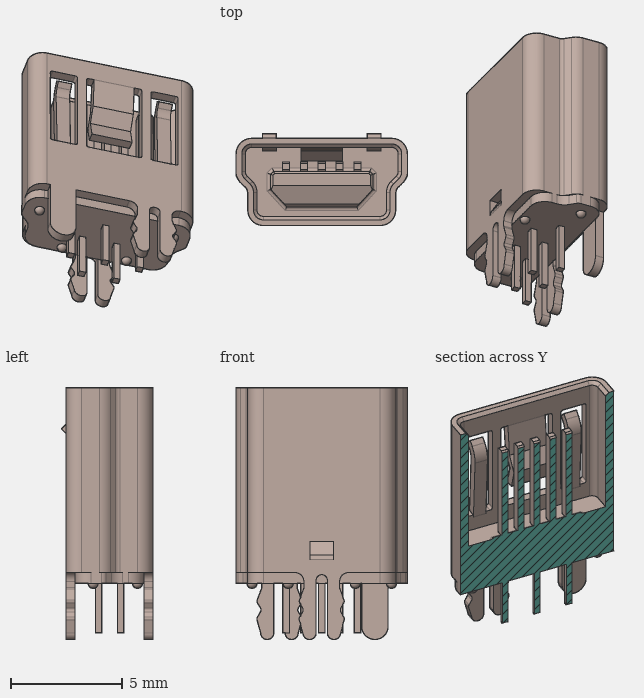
import cadquery as cq
import math


height = 11.3
width = 7.7
depth = 3.92
waist_width = 6.65
shoulder_y = 0.17
corner_radius = 0.7
wall = 0.42
shell_bottom = 3.01
lip_chamfer = 0.16

half_depth = depth / 2
inner_y = half_depth - wall
bend_radius = corner_radius - wall

flange_bottom = 2.52
flange_shoulder_shift = 0.07
floor_z = 5.08
foot_radius = 0.23
back_feet = (3.13, 0.73)
front_feet = (1.5, -1.25)

tongue_top = 10.4
tongue_half_width = 2.29
tongue_back = 0.47
tongue_side_front = -0.34
tongue_front = -1.12
tongue_front_half_width = 1.57
tongue_back_bevel = 0.14
tongue_chamfer = 0.1
tongue_foot = 0.16
slope_start = -0.16
slope_angle = 23.0
slope_front_chamfer = 0.14

contact_pitch = 0.8
contact_width = 0.32
contact_back = 0.9
contact_top = 9.72
contact_chamfer = 0.08
tail_size = 0.29
tail_bottom = 0.3
back_tail_y = 0.49
front_tail_y = -0.5

window_top = 10.22
window_bottom = 5.88
window_radius = 0.11
side_window_x = 2.35
side_window_width = 1.27
middle_window_width = 2.58
side_spring_width = 0.63
side_spring_lean = 0.18
side_spring_knee = 9.07
side_spring_bend = 0.98
side_spring_reach = 0.2
middle_spring_width = 1.88
middle_spring_lean = 0.16
middle_spring_knee = 8.7
middle_spring_crest = 8.02
middle_spring_crest_y = 0.94
middle_spring_tip = 7.12
middle_spring_tip_y = 1.19

latch_width = 1.04
latch_top = 4.41
latch_bottom = 3.6
latch_ridge = 3.8
latch_gap = 0.05

fork_slot_width = 0.5
fork_slot_top = 2.92
fork_neck = 0.8
fork_barb = 1.03
fork_root_radius = 0.4
fork_neck_bottom = 2.3
upper_barb_z = 1.71
notch_z = 1.33
lower_barb_z = 0.95
fork_tip_half_width = 0.85
barb_radius = 0.17
back_fork_x = -1.9
plain_leg_x = 2.38
plain_leg_width = 1.2

overlap = 0.11
edge_reach = 0.02
bend_angle = math.radians(45)


def box(x, y_range, z_range, size_x):
    """Upright block centred on x."""
    size_y = y_range[1] - y_range[0]
    size_z = z_range[1] - z_range[0]
    return (
        cq.Workplane("XY")
        .box(size_x, size_y, size_z, centered=(True, False, False))
        .translate((x, y_range[0], z_range[0]))
    )


def along_x(points, x, size_x):
    """(Y, Z) outline extruded along X, centred on x."""
    outline = cq.Workplane("YZ").polyline(points).close()
    return outline.extrude(size_x / 2, both=True).translate((x, 0, 0))


def stepped_prism(side, waist, back, front, shoulder, radii, z_range):
    """Outline with a wide back, 45 degree shoulders and a narrower front.

    side and waist are half widths; radii are those of the outer corners, shoulder and waist bend.
    """
    corner, shoulder_bend, waist_bend = radii
    waist_y = shoulder - (side - waist)
    right = [(waist, front), (waist, waist_y), (side, shoulder), (side, back)]
    left = [(-x, y) for x, y in reversed(right)]
    prism = (
        cq.Workplane("XY", origin=(0, 0, z_range[0]))
        .polyline(right + left)
        .close()
        .extrude(z_range[1] - z_range[0])
    )

    def near(y):
        middle = (z_range[0] + z_range[1]) / 2
        low = (-side - edge_reach, y - edge_reach, middle - overlap)
        high = (side + edge_reach, y + edge_reach, middle + overlap)
        return cq.selectors.BoxSelector(low, high)

    for y, radius in ((back, corner), (front, corner), (shoulder, shoulder_bend), (waist_y, waist_bend)):
        prism = prism.edges("|Z").edges(near(y)).fillet(radius)
    return prism


def cavity(z_range):
    """Space inside the shell walls."""
    inner_shoulder = shoulder_y + wall * math.tan(bend_angle / 2)
    return stepped_prism(
        width / 2 - wall,
        waist_width / 2 - wall,
        inner_y,
        -inner_y,
        inner_shoulder,
        (bend_radius, bend_radius, corner_radius),
        z_range,
    )


def back_window(x, size_x):
    y_range = (inner_y - overlap, half_depth + overlap)
    return box(x, y_range, (window_bottom, window_top), size_x).edges("|Y").fillet(window_radius)


def make_shell():
    radii = (corner_radius, corner_radius, bend_radius)
    outer = stepped_prism(
        width / 2, waist_width / 2, half_depth, -half_depth, shoulder_y, radii, (shell_bottom, height)
    )
    shell = outer.cut(cavity((shell_bottom, height)))
    shell = shell.faces(">Z").wires(cq.selectors.AreaNthSelector(0)).chamfer(lip_chamfer)
    for x in (-side_window_x, side_window_x):
        shell = shell.cut(back_window(x, side_window_width))
    shell = shell.cut(back_window(0, middle_window_width))
    latch_y = (-half_depth - overlap, -inner_y + overlap)
    return shell.cut(box(0, latch_y, (latch_bottom, latch_top), latch_width))


def side_spring(x):
    """Leaf rising from the window sill, leaning inward, with its end hooked outward at 45 degrees."""
    root = window_bottom - overlap
    knee_inner = inner_y - side_spring_lean
    knee_outer = knee_inner + wall
    tip_y = half_depth + side_spring_reach
    tip_z = side_spring_knee + tip_y - knee_outer
    end_step = wall * math.sin(bend_angle)
    inner_rise = wall * math.tan(bend_angle / 2)

    def knee_at(y, z):
        return cq.selectors.NearestToPointSelector((x, y, z))

    leaf = along_x(
        [
            (inner_y, root),
            (half_depth, root),
            (knee_outer, side_spring_knee),
            (tip_y, tip_z),
            (tip_y - end_step, tip_z + end_step),
            (knee_inner, side_spring_knee + inner_rise),
        ],
        x,
        side_spring_width,
    )
    leaf = leaf.edges(knee_at(knee_inner, side_spring_knee + inner_rise)).fillet(side_spring_bend)
    return leaf.edges(knee_at(knee_outer, side_spring_knee)).fillet(side_spring_bend - wall)


def middle_spring():
    """Leaf hanging from the window head, bending inward to a crest and back at its free end."""
    root = window_top + overlap
    inner = [
        (inner_y, root),
        (inner_y, window_top),
        (inner_y - middle_spring_lean, middle_spring_knee),
        (middle_spring_crest_y, middle_spring_crest),
        (middle_spring_tip_y, middle_spring_tip),
    ]
    outer = [(y + wall, z) for y, z in reversed(inner)]
    return along_x(inner + outer, 0, middle_spring_width)


def tongue_outline(z):
    right = [
        (tongue_front_half_width, tongue_front),
        (tongue_half_width, tongue_side_front),
        (tongue_half_width, tongue_back - tongue_back_bevel),
        (tongue_half_width - tongue_back_bevel, tongue_back),
    ]
    left = [(-x, y) for x, y in reversed(right)]
    return cq.Workplane("XY", origin=(0, 0, z)).polyline(right + left).close()


def make_tongue():
    tongue = tongue_outline(floor_z).extrude(tongue_top - floor_z).faces(">Z").chamfer(tongue_chamfer)
    run = slope_start - tongue_front + overlap
    drop = run * math.tan(math.radians(slope_angle))
    slope = along_x(
        [
            (slope_start, tongue_top),
            (slope_start - run, tongue_top),
            (slope_start - run, tongue_top - drop),
        ],
        0,
        width,
    )
    tongue = tongue.cut(slope)
    return tongue.edges("<Y and (not |Z)").edges(">Z").chamfer(slope_front_chamfer)


def make_contact(x):
    """Blade standing on the floor against the back of the tongue, bevelled at its top."""
    bevel_z = contact_top - contact_chamfer
    return along_x(
        [
            (tongue_back - overlap, floor_z - overlap),
            (contact_back, floor_z - overlap),
            (contact_back, bevel_z),
            (contact_back - contact_chamfer, contact_top),
            (tongue_back + contact_chamfer, contact_top),
            (tongue_back, bevel_z),
            (tongue_back - overlap, bevel_z),
        ],
        x,
        contact_width,
    )


def make_tail(x, y):
    y_range = (y - tail_size / 2, y + tail_size / 2)
    return box(x, y_range, (tail_bottom, flange_bottom + overlap), tail_size)


def make_insulator():
    insulator = cavity((shell_bottom - overlap, floor_z)).union(make_tongue())
    foot_edges = cq.selectors.BoxSelector(
        (-tongue_half_width - overlap, tongue_front - overlap, floor_z - overlap),
        (tongue_half_width + overlap, tongue_back + overlap, floor_z + overlap),
    )
    insulator = insulator.edges("not |Z").edges(foot_edges).fillet(tongue_foot)
    radii = (corner_radius, bend_radius, corner_radius)
    flange_shoulder = shoulder_y + flange_shoulder_shift
    flange = stepped_prism(
        width / 2, waist_width / 2, inner_y, -inner_y, flange_shoulder, radii, (flange_bottom, shell_bottom)
    )
    insulator = insulator.union(flange)
    ridge_y = -half_depth + latch_gap
    latch = along_x(
        [
            (-inner_y + overlap, latch_top),
            (-inner_y, latch_top),
            (ridge_y, latch_ridge),
            (-half_depth, latch_bottom),
            (-inner_y + overlap, latch_bottom),
        ],
        0,
        latch_width,
    )
    insulator = insulator.union(latch)
    for x, y in (back_feet, front_feet):
        for side in (-1, 1):
            foot = cq.Workplane("XY").sphere(foot_radius).translate((side * x, y, flange_bottom))
            insulator = insulator.union(foot)
    return insulator


def prong():
    """Right-hand prong of a fork on the XZ plane, with a pair of barbs on its outer edge."""
    slot = fork_slot_width / 2
    slot_base = fork_slot_top - slot
    tip_radius = (fork_tip_half_width - slot) / 2
    diagonal = math.sqrt(0.5)
    root_x = fork_neck + fork_root_radius
    root_z = shell_bottom - fork_root_radius
    root_middle = (root_x - fork_root_radius * diagonal, root_z + fork_root_radius * diagonal)
    slot_middle = (slot * diagonal, slot_base + slot * diagonal)
    leg = (
        cq.Workplane("XZ")
        .moveTo(0, shell_bottom + overlap)
        .lineTo(root_x, shell_bottom + overlap)
        .lineTo(root_x, shell_bottom)
        .threePointArc(root_middle, (fork_neck, root_z))
        .lineTo(fork_neck, fork_neck_bottom)
        .lineTo(fork_barb, upper_barb_z)
        .lineTo(fork_neck, notch_z)
        .lineTo(fork_barb, lower_barb_z)
        .lineTo(fork_tip_half_width, tip_radius)
        .threePointArc((slot + tip_radius, 0), (slot, tip_radius))
        .lineTo(slot, slot_base)
        .threePointArc(slot_middle, (0, fork_slot_top))
        .close()
        .extrude(-wall)
    )
    low = (fork_neck - overlap, -overlap, lower_barb_z - overlap)
    high = (fork_barb + overlap, wall + overlap, fork_neck_bottom + overlap)
    return leg.edges("|Y").edges(cq.selectors.BoxSelector(low, high)).fillet(barb_radius)


def fork(x, front_y):
    half = prong()
    return half.union(half.mirror("YZ")).translate((x, front_y, 0))


def plain_leg():
    radius = plain_leg_width / 2
    leg = box(plain_leg_x, (inner_y, half_depth), (radius, shell_bottom + overlap), plain_leg_width)
    tip = cq.Workplane("XZ", origin=(plain_leg_x, inner_y, radius)).circle(radius).extrude(-wall)
    return leg.union(tip)


result = make_shell().union(make_insulator())
for index in range(-2, 3):
    contact_x = index * contact_pitch
    tail_y = front_tail_y if index % 2 else back_tail_y
    result = result.union(make_contact(contact_x)).union(make_tail(contact_x, tail_y))
for spring_x in (-side_window_x, side_window_x):
    result = result.union(side_spring(spring_x))
result = result.union(middle_spring())
result = result.union(fork(0, -half_depth)).union(fork(back_fork_x, inner_y)).union(plain_leg())